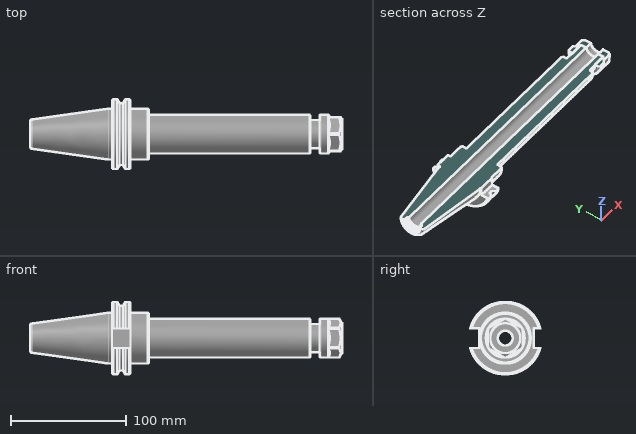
import cadquery as cq
import math

total_length = 271.5

tip_diameter = 25.2
tip_fillet = 2.2
gauge_diameter = 44.5
taper_length = 68.0

flange_start = 71.5
flange_end = 87.0
flange_diameter = 63.2
flange_chamfer = 1.0
groove_bottom_diameter = 56.5
groove_mouth_width = 7.3
groove_bottom_width = 2.7

slot_width = 16.8
shallow_slot_wall = 25.0
deep_slot_wall = 22.8

collar_end = 103.2
shoulder_chamfer = 1.0
shank_diameter = 34.0
shank_end = 243.8
shank_chamfer = 1.0
neck_diameter = 25.0
neck_end = 264.7

mouth_diameter = 18.7
mouth_chamfer_depth = 0.5
counterbore_diameter = 16.3
counterbore_depth = 2.2
middle_step_start = 3.0
middle_step_diameter = 15.7
middle_step_end = 4.3
bore_start = 5.2
bore_diameter = 12.8

nut_start = 251.5
nut_rim_diameter = shank_diameter
nut_fillet = 1.4
nut_rim_end = 259.0
nut_rim_slope_length = 1.5
hex_across_flats = 30.0
nut_chamfer_start = 268.7
nut_chamfer_end = 271.0
nut_nose_diameter = 26.0


def revolve_outline(points):
    """Turn a closed (axial position, radius) outline around the X axis."""
    return cq.Workplane("XY").polyline(points).close().revolve(360, (0, 0, 0), (1, 0, 0))


def disc(start, end, diameter):
    """Cylinder along X between two axial positions."""
    return cq.Workplane("YZ").workplane(offset=start).circle(diameter / 2).extrude(end - start)


def make_taper():
    taper = revolve_outline([
        (0, 0),
        (0, tip_diameter / 2),
        (taper_length, gauge_diameter / 2),
        (taper_length, 0),
    ])
    return taper.faces("<X").edges().fillet(tip_fillet)


def make_flange():
    flange = disc(flange_start, flange_end, flange_diameter).edges().chamfer(flange_chamfer)
    groove_middle = (flange_start + flange_end) / 2
    groove = revolve_outline([
        (groove_middle - groove_mouth_width / 2, flange_diameter / 2),
        (groove_middle - groove_bottom_width / 2, groove_bottom_diameter / 2),
        (groove_middle + groove_bottom_width / 2, groove_bottom_diameter / 2),
        (groove_middle + groove_mouth_width / 2, flange_diameter / 2),
    ])
    shallow_slot = make_drive_slot(1, shallow_slot_wall)
    deep_slot = make_drive_slot(-1, deep_slot_wall)
    return flange.cut(groove).cut(shallow_slot).cut(deep_slot)


def make_drive_slot(side, wall_distance):
    """Block that opens the flange outward from a flat wall on the +Y (1) or -Y (-1) side."""
    slot_depth = flange_diameter / 2 - wall_distance
    middle_x = (flange_start + flange_end) / 2
    middle_y = side * (wall_distance + slot_depth / 2)
    block = cq.Workplane("XY").box(flange_end - flange_start, slot_depth, slot_width)
    return block.translate((middle_x, middle_y, 0))


def make_bore():
    """Through bore whose entry narrows in short cylinders joined by cones."""
    return revolve_outline([
        (0, 0),
        (0, mouth_diameter / 2),
        (mouth_chamfer_depth, counterbore_diameter / 2),
        (counterbore_depth, counterbore_diameter / 2),
        (middle_step_start, middle_step_diameter / 2),
        (middle_step_end, middle_step_diameter / 2),
        (bore_start, bore_diameter / 2),
        (total_length, bore_diameter / 2),
        (total_length, 0),
    ])


def make_holder():
    collar = disc(taper_length, collar_end, gauge_diameter).faces(">X").edges().chamfer(shoulder_chamfer)
    shank = disc(collar_end, shank_end, shank_diameter).faces(">X").edges().chamfer(shank_chamfer)
    neck = disc(shank_end, neck_end, neck_diameter)
    outside = make_taper().union(collar).union(make_flange()).union(shank).union(neck)
    return outside.cut(make_bore())


def make_nut():
    rim_radius = nut_rim_diameter / 2
    flat_radius = hex_across_flats / 2
    rim = revolve_outline([
        (nut_start, 0),
        (nut_start, rim_radius),
        (nut_rim_end, rim_radius),
        (nut_rim_end + nut_rim_slope_length, flat_radius),
        (nut_rim_end + nut_rim_slope_length, 0),
    ]).faces("<X").edges().fillet(nut_fillet)
    hexagon_envelope = revolve_outline([
        (nut_rim_end, 0),
        (nut_rim_end, rim_radius),
        (nut_chamfer_start, rim_radius),
        (nut_chamfer_end, nut_nose_diameter / 2),
        (total_length, nut_nose_diameter / 2),
        (total_length, 0),
    ])
    hex_across_corners = hex_across_flats / math.cos(math.pi / 6)
    hexagon = (
        cq.Workplane("YZ")
        .workplane(offset=nut_rim_end)
        .transformed(rotate=(0, 0, 90))
        .polygon(6, hex_across_corners)
        .extrude(total_length - nut_rim_end)
        .intersect(hexagon_envelope)
    )
    socket = disc(nut_start, neck_end, neck_diameter)
    opening = disc(neck_end, total_length, bore_diameter)
    return rim.union(hexagon).cut(socket).cut(opening)


holder = make_holder()
nut = make_nut()
result = cq.Compound.makeCompound([holder.val(), nut.val()])